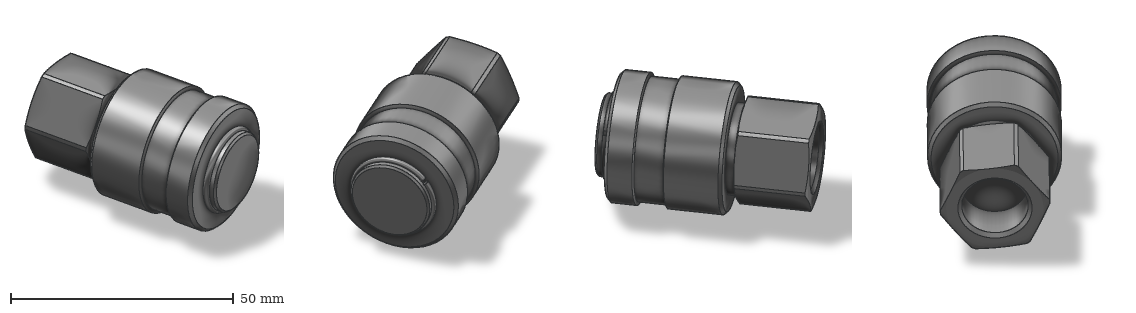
import cadquery as cq
import math

total_length = 49.1

hex_across_flats = 22.0
hex_length = 17.05
hex_corner_diameter = 24.85
hex_tilt = -7.2
hex_end_diameter = 21.9
hex_chamfer_angle = 16.0
bore_diameter = 14.95
bore_mouth_diameter = 16.7
bore_depth = 9.0

neck_diameter = 21.0

sleeve_diameter = 30.2
sleeve_start = 19.05
sleeve_end = 46.0
sleeve_chamfer = 0.8
marking_groove_diameter = 28.55
marking_groove_start = 32.3
marking_groove_end = 39.55
marking_groove_wall_run = 0.3

nose_diameter = 19.0
nose_chamfer = 0.5
wire_diameter = 1.5
ring_seat_diameter = 17.6
ring_gap_width = 1.0
ring_gap_angle = 51.4

hex_across_corners = hex_across_flats * 2 / math.sqrt(3)
hex_chamfer_height = (hex_corner_diameter - hex_end_diameter) / 2
hex_chamfer_length = hex_chamfer_height * math.tan(math.radians(hex_chamfer_angle))
bore_chamfer = (bore_mouth_diameter - bore_diameter) / 2
ring_seat_end = sleeve_end + wire_diameter
ring_center_x = sleeve_end + wire_diameter / 2
ring_center_radius = (ring_seat_diameter + wire_diameter) / 2


def cylinder(diameter, start, end):
    """Round bar along X between two X positions."""
    return cq.Workplane("YZ").workplane(offset=start).circle(diameter / 2).extrude(end - start)


def revolve_about_x(profile):
    """Turn a profile of the XY plane about the X axis."""
    return profile.revolve(360, (0, 0, 0), (1, 0, 0))


def make_hexagon():
    """Hexagon with turned-down corners and a chamfer cone at both ends."""
    prism = cq.Workplane("YZ").polygon(6, hex_across_corners).extrude(hex_length)
    prism = prism.rotate((0, 0, 0), (1, 0, 0), hex_tilt)
    end_radius = hex_end_diameter / 2
    corner_radius = hex_corner_diameter / 2
    envelope = cq.Workplane("XY").polyline([
        (0, 0),
        (0, end_radius),
        (hex_chamfer_length, corner_radius),
        (hex_length - hex_chamfer_length, corner_radius),
        (hex_length, end_radius),
        (hex_length, 0),
    ]).close()
    return prism.intersect(revolve_about_x(envelope))


def make_sleeve():
    """Chamfered sleeve with the marking groove around it."""
    sleeve = cylinder(sleeve_diameter, sleeve_start, sleeve_end).edges().chamfer(sleeve_chamfer)
    sleeve_radius = sleeve_diameter / 2
    groove_radius = marking_groove_diameter / 2
    groove = cq.Workplane("XY").polyline([
        (marking_groove_start, sleeve_radius),
        (marking_groove_start + marking_groove_wall_run, groove_radius),
        (marking_groove_end - marking_groove_wall_run, groove_radius),
        (marking_groove_end, sleeve_radius),
    ]).close()
    return sleeve.cut(revolve_about_x(groove))


def make_nose():
    """Seat of the snap ring and the chamfered nose that ends the coupling."""
    seat = cylinder(ring_seat_diameter, sleeve_end, ring_seat_end)
    nose = cylinder(nose_diameter, ring_seat_end, total_length)
    return seat.union(nose.faces(">X").chamfer(nose_chamfer))


def make_bore():
    """Blind connection bore with a chamfered mouth."""
    mouth = cq.Workplane("XY").polyline([
        (0, 0),
        (0, bore_mouth_diameter / 2),
        (bore_chamfer, bore_diameter / 2),
        (bore_chamfer, 0),
    ]).close()
    return cylinder(bore_diameter, 0, bore_depth).union(revolve_about_x(mouth))


def make_coupling():
    """Hexagon, neck, sleeve and nose as one body with the bore cut into it."""
    neck = cylinder(neck_diameter, hex_length, sleeve_start)
    coupling = make_hexagon().union(neck).union(make_sleeve()).union(make_nose())
    return coupling.cut(make_bore())


def make_snap_ring():
    """Round-wire ring on its seat, opened by a gap."""
    wire = cq.Workplane("XY").moveTo(ring_center_x, ring_center_radius).circle(wire_diameter / 2)
    ring = revolve_about_x(wire)
    gap = (
        cq.Workplane("XY")
        .box(2 * wire_diameter, ring_gap_width, 2 * wire_diameter)
        .translate((ring_center_x, 0, ring_center_radius))
        .rotate((0, 0, 0), (1, 0, 0), -ring_gap_angle)
    )
    return ring.cut(gap)


coupling = make_coupling()
snap_ring = make_snap_ring()

result = cq.Compound.makeCompound([coupling.val(), snap_ring.val()])